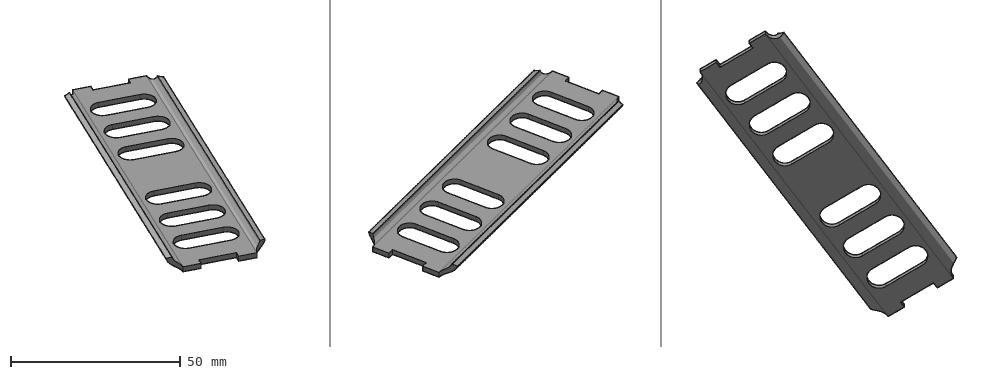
import cadquery as cq
import math

length = 100.0
width = 31.0
height = 3.5
thickness = 1.8

inner_bend_radius = 2.2
outer_bend_radius = inner_bend_radius + thickness
bend_center_z = outer_bend_radius
lip_angle = math.asin((bend_center_z - height) / inner_bend_radius)
bend_start_y = width / 2 - outer_bend_radius * math.cos(lip_angle)

corner_radius = 4.0

notch_depth = 2.0
notch_width = 11.7

slot_width = 7.2
slot_length = 20.2
slot_pitch = 12.5
slots_per_side = 3


def bend_point(radius, angle):
    """Point on the +Y bend, with the angle measured below horizontal."""
    return (
        bend_start_y + radius * math.cos(angle),
        bend_center_z - radius * math.sin(angle),
    )


def mirrored(point):
    return (-point[0], point[1])


def make_channel():
    """Flat strip with both long edges curled upward, extruded along X."""
    middle_angle = (lip_angle + math.pi / 2) / 2
    outer_middle = bend_point(outer_bend_radius, middle_angle)
    outer_tip = bend_point(outer_bend_radius, lip_angle)
    inner_tip = bend_point(inner_bend_radius, lip_angle)
    inner_middle = bend_point(inner_bend_radius, middle_angle)
    return (
        cq.Workplane("YZ")
        .moveTo(-bend_start_y, 0)
        .lineTo(bend_start_y, 0)
        .threePointArc(outer_middle, outer_tip)
        .lineTo(*inner_tip)
        .threePointArc(inner_middle, (bend_start_y, thickness))
        .lineTo(-bend_start_y, thickness)
        .threePointArc(mirrored(inner_middle), mirrored(inner_tip))
        .lineTo(*mirrored(outer_tip))
        .threePointArc(mirrored(outer_middle), (-bend_start_y, 0))
        .close()
        .extrude(length / 2, both=True)
    )


def make_corner_cuts():
    center_y = bend_start_y + corner_radius
    centers = [(x * length / 2, y * center_y) for x in (-1, 1) for y in (-1, 1)]
    return cq.Workplane("XY").pushPoints(centers).circle(corner_radius).extrude(height)


def make_notches():
    return (
        cq.Workplane("XY")
        .pushPoints([(-length / 2, 0), (length / 2, 0)])
        .rect(2 * notch_depth, notch_width)
        .extrude(height)
    )


def make_slots():
    centers = [
        (side * number * slot_pitch, 0)
        for side in (-1, 1)
        for number in range(1, slots_per_side + 1)
    ]
    return (
        cq.Workplane("XY")
        .pushPoints(centers)
        .slot2D(slot_length, slot_width, 90)
        .extrude(height)
    )


result = (
    make_channel()
    .cut(make_corner_cuts())
    .cut(make_notches())
    .cut(make_slots())
)